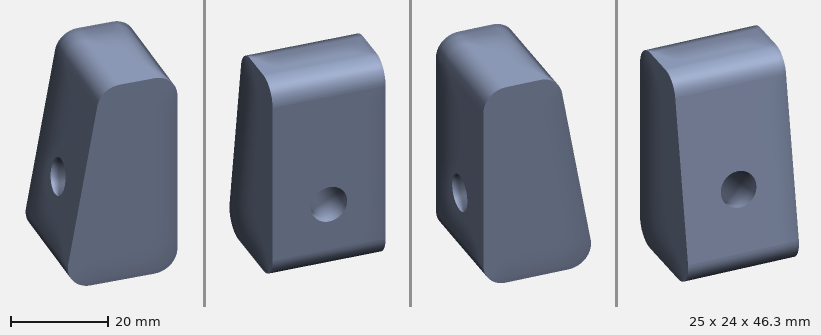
import cadquery as cq
import math

width = 25.0
depth = 24.02
height = 46.3
edge_radius = 5.0
face_tilt = math.radians(10.0)
hole_diameter = 8.0
hole_height = 19.6

round_centre_y = edge_radius
base_front_y = round_centre_y - edge_radius * (1 + math.sin(face_tilt)) / math.cos(face_tilt)


def front_face_y(z):
    """Y position of the leaning front face at height z."""
    return base_front_y + z * math.tan(face_tilt)


body = (
    cq.Workplane("YZ")
    .polyline([
        (base_front_y, 0),
        (depth, 0),
        (depth, height),
        (front_face_y(height), height),
    ])
    .close()
    .extrude(width)
    .edges("|X")
    .fillet(edge_radius)
)

hole_centre = cq.Vector(width / 2, front_face_y(hole_height), hole_height)
hole_direction = cq.Vector(0, math.cos(face_tilt), -math.sin(face_tilt))
hole_start = hole_centre - hole_direction * depth
hole = cq.Solid.makeCylinder(hole_diameter / 2, 3 * depth, hole_start, hole_direction)

result = body.cut(cq.Workplane(obj=hole))